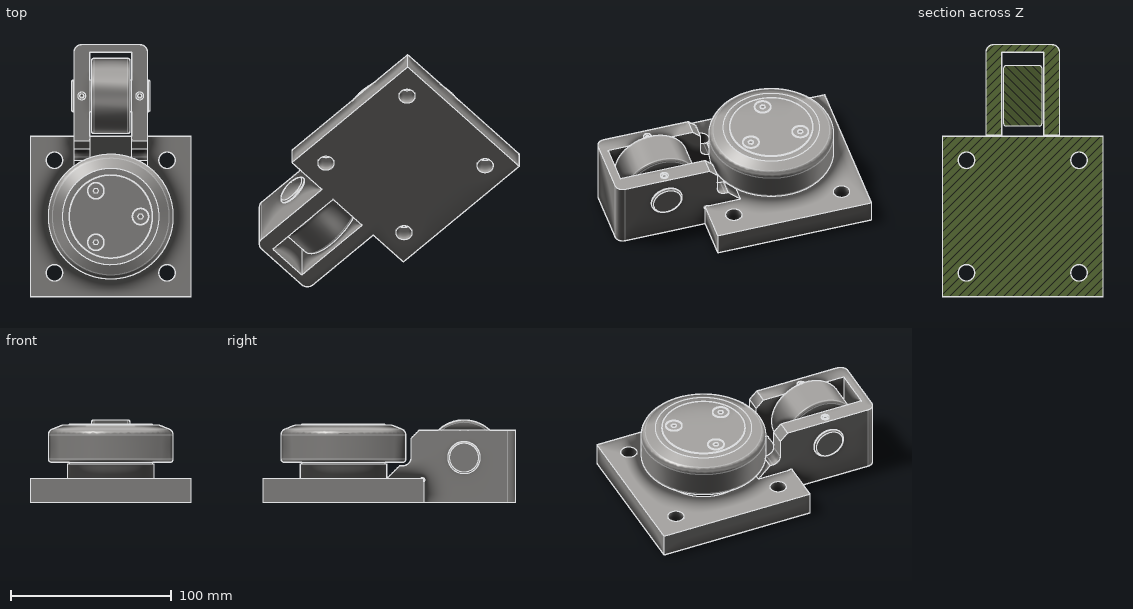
import cadquery as cq
import math


PLATE_SIZE = 100.0
PLATE_THICKNESS = 15.0
PLATE_HOLE_DIAMETER = 10.11
PLATE_HOLE_SPACING = 70.0
PLATE_EDGE_Y = PLATE_SIZE / 2

NECK_DIAMETER = 54.0
COLLAR_DIAMETER = 52.0
COLLAR_HEIGHT = 0.9
RING_DIAMETER = 77.7
RING_FACE_DIAMETER = 60.0
RING_BOTTOM_Z = 25.0
RING_TOP_Z = 48.3
RING_CONE_ANGLE = 21.5
RING_TOP_FILLET = 4.0
RING_BOTTOM_FILLET = 2.0
CAP_DIAMETER = 52.0
CAP_RISE = 0.5
CAP_CHAMFER = 0.3
CAP_TOP_Z = RING_TOP_Z + CAP_RISE

CAP_SCREW_COUNT = 3
CAP_SCREW_CIRCLE_RADIUS = 18.5
SCREW_SEAT_DIAMETER = 10.4
SCREW_HEAD_DIAMETER = 9.75
SCREW_GAP_DEPTH = 0.5
SCREW_SOCKET_WIDTH = 3.0
SCREW_SOCKET_DEPTH = 0.5

FORK_WIDTH = 46.0
FORK_SLOT_WIDTH = 26.0
FORK_HEIGHT = 45.0
FORK_BACK_Y = 107.0
FORK_BACK_THICKNESS = 5.0
FORK_CORNER_RADIUS = 5.0
FORK_FRONT_Y = 42.0
FORK_TOP_CHAMFER = 5.0
LEDGE_Z = 23.0
LEDGE_FILLET = 5.0
LEDGE_END_Y = 35.0
RELIEF_DIAMETER = 3.0
RELIEF_INSET = 1.0

ROLLER_Y = 75.0
ROLLER_Z = 28.0
ROLLER_DIAMETER = 47.0
ROLLER_WIDTH = 24.0
ROLLER_FILLET = 1.5
PIN_DIAMETER = 20.0
PIN_LENGTH = 49.0
PIN_CHAMFER = 1.0
PIN_BORE_DIAMETER = 20.1

SET_SCREW_DIAMETER = 4.92
SET_SCREW_X = (FORK_WIDTH + FORK_SLOT_WIDTH) / 4
SET_SCREW_SINK = 0.5
SET_SCREW_SOCKET_WIDTH = 2.5
SET_SCREW_SOCKET_DEPTH = 0.5
SOCKET_TIP_DEPTH = 1.0


def cylinder_z(diameter, bottom_z, top_z):
    return cq.Workplane("XY", origin=(0, 0, bottom_z)).circle(diameter / 2).extrude(top_z - bottom_z)


def cylinder_x(diameter, length, y, z):
    """Cylinder along X, centred on X = 0."""
    return cq.Workplane("YZ", origin=(-length / 2, y, z)).circle(diameter / 2).extrude(length)


def hex_corner_diameter(width_across_flats):
    return width_across_flats / math.cos(math.radians(30))


def make_plate():
    plate = cq.Workplane("XY").box(PLATE_SIZE, PLATE_SIZE, PLATE_THICKNESS, centered=(True, True, False))
    holes = (
        cq.Workplane("XY")
        .rect(PLATE_HOLE_SPACING, PLATE_HOLE_SPACING, forConstruction=True)
        .vertices()
        .circle(PLATE_HOLE_DIAMETER / 2)
        .extrude(PLATE_THICKNESS)
    )
    return plate.cut(holes)


def make_bearing_ring():
    """Thick disc with a shallow cone around its flat top and rounded rims."""
    radius = RING_DIAMETER / 2
    face_radius = RING_FACE_DIAMETER / 2
    cone_drop = (radius - face_radius) * math.tan(math.radians(RING_CONE_ANGLE))
    cone_bottom_z = RING_TOP_Z - cone_drop
    ring = (
        cq.Workplane("XZ")
        .moveTo(0, RING_BOTTOM_Z)
        .lineTo(radius, RING_BOTTOM_Z)
        .lineTo(radius, cone_bottom_z)
        .lineTo(face_radius, RING_TOP_Z)
        .lineTo(0, RING_TOP_Z)
        .close()
        .revolve(360, (0, 0, 0), (0, 1, 0))
    )
    ring = ring.edges("%CIRCLE").edges(cq.selectors.RadiusNthSelector(-1)).edges(">Z").fillet(RING_TOP_FILLET)
    return ring.faces("<Z").edges().fillet(RING_BOTTOM_FILLET)


def cut_cap_screws(body):
    """Clearance gap around each screw head, and the hexagon socket in the head."""
    centres = cq.Workplane("XY", origin=(0, 0, CAP_TOP_Z)).polarArray(
        CAP_SCREW_CIRCLE_RADIUS, 0, 360, CAP_SCREW_COUNT
    )
    gaps = (
        centres.circle(SCREW_SEAT_DIAMETER / 2)
        .circle(SCREW_HEAD_DIAMETER / 2)
        .extrude(-SCREW_GAP_DEPTH)
    )
    sockets = centres.polygon(6, hex_corner_diameter(SCREW_SOCKET_WIDTH)).extrude(-SCREW_SOCKET_DEPTH)
    return body.cut(gaps).cut(sockets)


def make_bearing():
    neck = cylinder_z(NECK_DIAMETER, PLATE_THICKNESS, RING_BOTTOM_Z - COLLAR_HEIGHT)
    collar = cylinder_z(COLLAR_DIAMETER, PLATE_THICKNESS, RING_BOTTOM_Z)
    cap = cylinder_z(CAP_DIAMETER, RING_BOTTOM_Z, CAP_TOP_Z)
    cap = cap.faces(">Z").edges().chamfer(CAP_CHAMFER)
    bearing = neck.union(collar).union(make_bearing_ring()).union(cap)
    return cut_cap_screws(bearing)


def cut_set_screws(fork):
    """Sunk set screw with a cone-bottomed hexagon socket in the top of each arm."""
    screw_top_z = FORK_HEIGHT - SET_SCREW_SINK
    socket_bottom_z = screw_top_z - SET_SCREW_SOCKET_DEPTH
    for x in (-SET_SCREW_X, SET_SCREW_X):
        recess = cylinder_z(SET_SCREW_DIAMETER, screw_top_z, FORK_HEIGHT).translate((x, ROLLER_Y, 0))
        socket = (
            cq.Workplane("XY", origin=(x, ROLLER_Y, screw_top_z))
            .polygon(6, hex_corner_diameter(SET_SCREW_SOCKET_WIDTH))
            .extrude(-SET_SCREW_SOCKET_DEPTH)
        )
        tip = cq.Solid.makeCone(
            SET_SCREW_SOCKET_WIDTH / 2,
            0,
            SOCKET_TIP_DEPTH,
            pnt=cq.Vector(x, ROLLER_Y, socket_bottom_z),
            dir=cq.Vector(0, 0, -1),
        )
        fork = fork.cut(recess).cut(socket).cut(cq.Workplane(tip))
    return fork


def make_fork():
    """U-shaped fork whose arms butt against the plate's edge and lie on its top face."""
    ledge_tip_y = LEDGE_END_Y - (LEDGE_Z - PLATE_THICKNESS)
    arc_inset = LEDGE_FILLET * (1 - math.sqrt(0.5))
    fork = (
        cq.Workplane("YZ")
        .moveTo(FORK_BACK_Y, 0)
        .lineTo(FORK_BACK_Y, FORK_HEIGHT)
        .lineTo(FORK_FRONT_Y + FORK_TOP_CHAMFER, FORK_HEIGHT)
        .lineTo(FORK_FRONT_Y, FORK_HEIGHT - FORK_TOP_CHAMFER)
        .lineTo(FORK_FRONT_Y, LEDGE_Z + LEDGE_FILLET)
        .threePointArc(
            (FORK_FRONT_Y - arc_inset, LEDGE_Z + arc_inset),
            (FORK_FRONT_Y - LEDGE_FILLET, LEDGE_Z),
        )
        .lineTo(LEDGE_END_Y, LEDGE_Z)
        .lineTo(ledge_tip_y, PLATE_THICKNESS)
        .lineTo(PLATE_EDGE_Y, PLATE_THICKNESS)
        .lineTo(PLATE_EDGE_Y, 0)
        .close()
        .extrude(FORK_WIDTH / 2, both=True)
    )
    fork = fork.faces(">Y").edges("|Z").fillet(FORK_CORNER_RADIUS)

    slot_end_y = FORK_BACK_Y - FORK_BACK_THICKNESS
    slot = cq.Workplane("XY").box(FORK_SLOT_WIDTH, slot_end_y, FORK_HEIGHT, centered=(True, False, False))
    pin_bore = cylinder_x(PIN_BORE_DIAMETER, FORK_WIDTH, ROLLER_Y, ROLLER_Z)
    corner_relief = cylinder_x(
        RELIEF_DIAMETER, FORK_WIDTH, PLATE_EDGE_Y - RELIEF_INSET, PLATE_THICKNESS - RELIEF_INSET
    )
    fork = fork.cut(slot).cut(pin_bore).cut(corner_relief)
    return cut_set_screws(fork)


def make_side_roller():
    """Side roller on its pin, as one turned piece along X."""
    roller = cylinder_x(ROLLER_DIAMETER, ROLLER_WIDTH, ROLLER_Y, ROLLER_Z)
    roller = roller.faces("<X or >X").edges().fillet(ROLLER_FILLET)
    pin = cylinder_x(PIN_DIAMETER, PIN_LENGTH, ROLLER_Y, ROLLER_Z)
    pin = pin.faces("<X or >X").edges().chamfer(PIN_CHAMFER)
    return roller.union(pin)


housing = make_plate().union(make_fork()).union(make_bearing())
side_roller = make_side_roller()

result = cq.Compound.makeCompound([housing.solids().val(), side_roller.solids().val()])